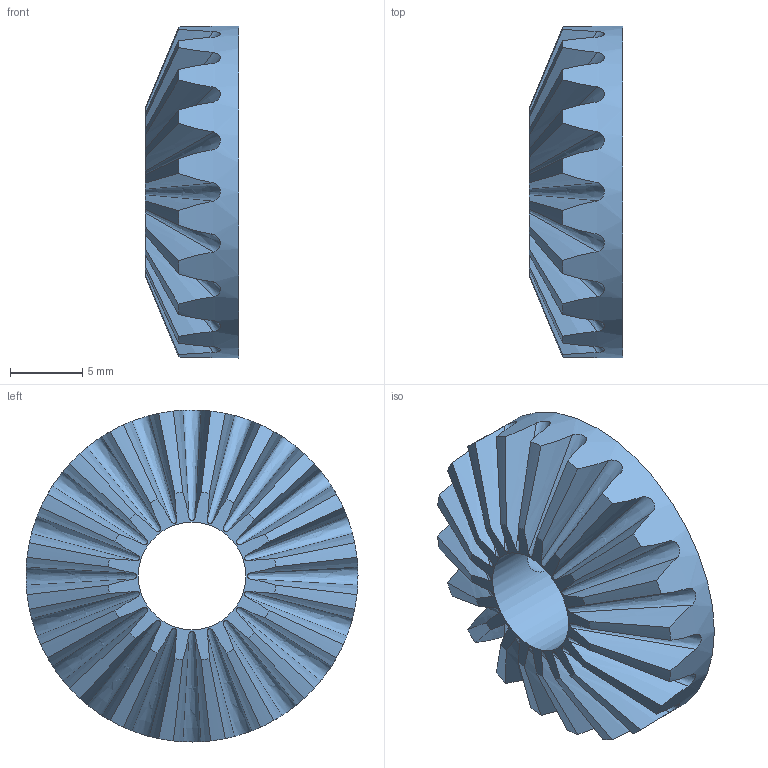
import cadquery as cq

TOOTH_COUNT = 20
FACE_WIDTH = 6.5
OUTER_RADIUS = 11.485
BORE_RADIUS = 3.72

FRONT_FACE_RADIUS = 5.84
TIP_CONE_LENGTH = 2.32

ROOT_DEPTH_OUTER = 5.21
ROOT_RADIUS_FRONT = 3.83

TIP_HALF_WIDTH_OUTER = 1.31
TIP_HALF_WIDTH_FRONT = 0.40

MID_FLANK_DEPTH_RATIO = 0.45
MID_FLANK_WIDTH_RATIO = 0.67
ROOT_ROUND_START_DEPTH_RATIO = 0.83
ROOT_ROUND_START_WIDTH_RATIO = 0.49

CROSS_HOLE_RADIUS = 1.5
CROSS_HOLE_X = 4.95
CROSS_HOLE_END_Y = 6.5

RADIAL_OVERCUT = 1.0
TIP_OVERCUT = 1.0


def between(radius, front_value, outer_value):
    """Value that varies linearly from the front end of the root line to the outer cylinder."""
    fraction = (radius - ROOT_RADIUS_FRONT) / (OUTER_RADIUS - ROOT_RADIUS_FRONT)
    return front_value + fraction * (outer_value - front_value)


def gear_blank():
    """Revolved blank: bore, flat front face, tip cone, outer cylinder and flat back."""
    half_section = (
        cq.Workplane("XY")
        .moveTo(0, BORE_RADIUS)
        .lineTo(0, FRONT_FACE_RADIUS)
        .lineTo(TIP_CONE_LENGTH, OUTER_RADIUS)
        .lineTo(FACE_WIDTH, OUTER_RADIUS)
        .lineTo(FACE_WIDTH, BORE_RADIUS)
        .close()
    )
    return half_section.revolve(360, (0, 0, 0), (1, 0, 0))


def space_section(radius):
    """Closed wire of one tooth space, in the plane z = radius."""
    tip_slope = TIP_CONE_LENGTH / (OUTER_RADIUS - FRONT_FACE_RADIUS)
    tip_x = tip_slope * (radius - FRONT_FACE_RADIUS)
    root_x = between(radius, 0, ROOT_DEPTH_OUTER)
    tip_half_width = between(radius, TIP_HALF_WIDTH_FRONT, TIP_HALF_WIDTH_OUTER)
    depth = root_x - tip_x

    mid_x = tip_x + MID_FLANK_DEPTH_RATIO * depth
    mid_y = MID_FLANK_WIDTH_RATIO * tip_half_width
    round_x = tip_x + ROOT_ROUND_START_DEPTH_RATIO * depth
    round_y = ROOT_ROUND_START_WIDTH_RATIO * tip_half_width

    opening_x = tip_x - TIP_OVERCUT
    opening_y = tip_half_width + TIP_OVERCUT * (tip_half_width - mid_y) / (mid_x - tip_x)

    section = (
        cq.Workplane("XY", origin=(0, 0, radius))
        .moveTo(opening_x, opening_y)
        .lineTo(tip_x, tip_half_width)
        .threePointArc((mid_x, mid_y), (round_x, round_y))
        .threePointArc((root_x, 0), (round_x, -round_y))
        .threePointArc((mid_x, -mid_y), (tip_x, -tip_half_width))
        .lineTo(opening_x, -opening_y)
        .close()
    )
    return section.val()


def space_cutter():
    """Tapered cutter for one tooth space, along +Z from the front end of the root line."""
    inner = space_section(ROOT_RADIUS_FRONT)
    outer = space_section(OUTER_RADIUS + RADIAL_OVERCUT)
    return cq.Solid.makeLoft([inner, outer], True)


def cross_hole():
    """Cylinder along +Y, from the bore axis to the blind end of the cross hole."""
    start = cq.Vector(CROSS_HOLE_X, 0, 0)
    along_y = cq.Vector(0, 1, 0)
    return cq.Workplane(cq.Solid.makeCylinder(CROSS_HOLE_RADIUS, CROSS_HOLE_END_Y, start, along_y))


def bevel_gear():
    """Blank with all its tooth spaces and the cross hole cut away."""
    gear = gear_blank()
    cutter = space_cutter()
    pitch_angle = 360 / TOOTH_COUNT
    axis_start = cq.Vector(0, 0, 0)
    axis_end = cq.Vector(1, 0, 0)
    for index in range(TOOTH_COUNT):
        turned_cutter = cutter.rotate(axis_start, axis_end, index * pitch_angle)
        gear = gear.cut(cq.Workplane(turned_cutter))
    return gear.cut(cross_hole())


result = bevel_gear()